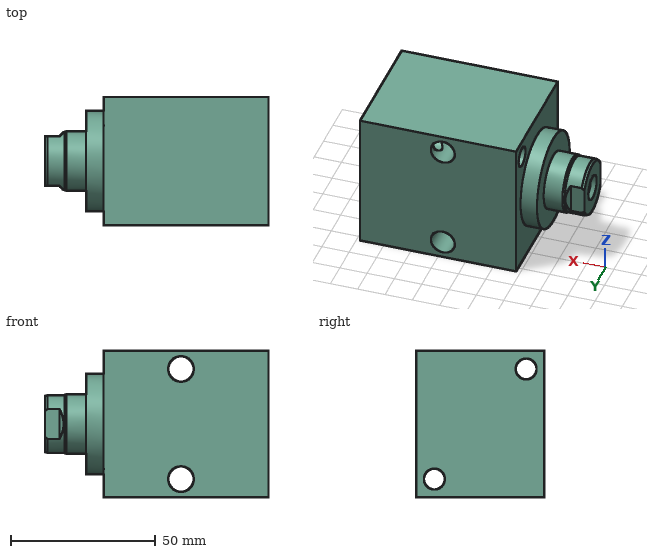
import cadquery as cq

BODY_LENGTH = 57.15
BODY_WIDTH = 44.45
BODY_HEIGHT = 50.8

PILOT_DIAMETER = 34.925
PILOT_LENGTH = 6.0

ROD_REACH = 20.32
ROD_DIAMETER = 20.64
ROD_END_DIAMETER = 20.1
ROD_END_LENGTH = 6.75
ROD_STEP_LENGTH = 0.75
TIP_CHAMFER_LENGTH = 1.0
TIP_CHAMFER_DEPTH = 0.35

FLATS_WIDTH = 17.15
FLATS_LENGTH = 5.0

SOCKET_DIAMETER = 6.35
SOCKET_MOUTH_DIAMETER = 8.85
SOCKET_CONE_DIAMETER = 7.8
SOCKET_MOUTH_DEPTH = 0.7
SOCKET_CONE_DEPTH = 1.75
SOCKET_DEPTH = 12.7

HOLE_ROW_OFFSET = 19.05
CROSS_HOLE_DIAMETER = 8.73
CROSS_HOLE_SETBACK = 26.8
AXIAL_HOLE_DIAMETER = 7.14
AXIAL_HOLE_OFFSET = 15.875

TIP_X = -ROD_REACH


def make_body():
    return cq.Workplane("XY").box(BODY_LENGTH, BODY_WIDTH, BODY_HEIGHT, centered=(False, True, True))


def make_pilot():
    return cq.Workplane("YZ").circle(PILOT_DIAMETER / 2).extrude(-PILOT_LENGTH)


def revolve_about_x(points):
    """Revolve a closed (x, radius) outline around the X axis."""
    return cq.Workplane("XY").polyline(points).close().revolve(360, (0, 0, 0), (1, 0, 0))


def make_rod():
    end_radius = ROD_END_DIAMETER / 2
    rod_radius = ROD_DIAMETER / 2
    step_x = TIP_X + ROD_END_LENGTH
    return revolve_about_x([
        (TIP_X, 0),
        (TIP_X, end_radius - TIP_CHAMFER_DEPTH),
        (TIP_X + TIP_CHAMFER_LENGTH, end_radius),
        (step_x, end_radius),
        (step_x + ROD_STEP_LENGTH, rod_radius),
        (0, rod_radius),
        (0, 0),
    ])


def make_flat_cutter():
    """Material removed for the +Y flat, with a 45 degree run-out."""
    flat_y = FLATS_WIDTH / 2
    flat_end_x = TIP_X + FLATS_LENGTH
    outer_y = ROD_END_DIAMETER / 2
    runout = outer_y - flat_y
    outline = [
        (TIP_X, flat_y),
        (flat_end_x, flat_y),
        (flat_end_x + runout, outer_y),
        (TIP_X, outer_y),
    ]
    return cq.Workplane("XY").polyline(outline).close().extrude(ROD_DIAMETER / 2, both=True)


def make_socket():
    """Blind socket that widens toward the rod tip in two conical steps."""
    return revolve_about_x([
        (TIP_X, 0),
        (TIP_X, SOCKET_MOUTH_DIAMETER / 2),
        (TIP_X + SOCKET_MOUTH_DEPTH, SOCKET_CONE_DIAMETER / 2),
        (TIP_X + SOCKET_CONE_DEPTH, SOCKET_DIAMETER / 2),
        (TIP_X + SOCKET_DEPTH, SOCKET_DIAMETER / 2),
        (TIP_X + SOCKET_DEPTH, 0),
    ])


def make_cross_holes():
    """Two holes through the body along Y."""
    centers = [(CROSS_HOLE_SETBACK, side * HOLE_ROW_OFFSET) for side in (1, -1)]
    holes = cq.Workplane("XZ").pushPoints(centers).circle(CROSS_HOLE_DIAMETER / 2)
    return holes.extrude(BODY_WIDTH / 2, both=True)


def make_axial_holes():
    """Two holes through the body along X, in diagonally opposite corners."""
    centers = [(side * AXIAL_HOLE_OFFSET, side * HOLE_ROW_OFFSET) for side in (1, -1)]
    return cq.Workplane("YZ").pushPoints(centers).circle(AXIAL_HOLE_DIAMETER / 2).extrude(BODY_LENGTH)


flat_cutter = make_flat_cutter()
rod = make_rod().cut(flat_cutter).cut(flat_cutter.mirror("XZ"))

result = make_body().union(make_pilot()).union(rod)
result = result.cut(make_socket()).cut(make_cross_holes()).cut(make_axial_holes())